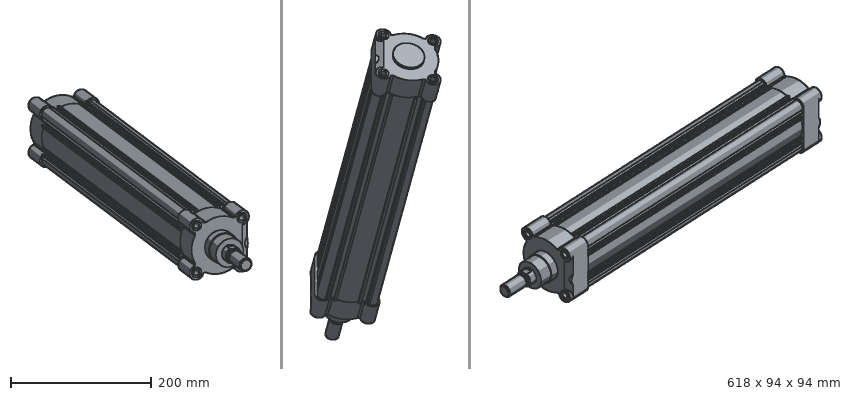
import cadquery as cq
import math


overall_length = 618.0
rear_boss_length = 4.0
cap_length = 38.0
barrel_length = 452.0
collar_length = 13.0
nose_length = 20.5

rear_cap_start = rear_boss_length
barrel_start = rear_cap_start + cap_length
front_cap_start = barrel_start + barrel_length
front_cap_end = front_cap_start + cap_length
collar_end = front_cap_end + collar_length
nose_end = collar_end + nose_length

half_width = 47.0
body_radius = 44.0
core_half_width = 38.5
ear_offset = 36.0
ear_radius = half_width - ear_offset

screw_seat_radius = 7.5
screw_seat_depth = 0.5
socket_radius = 4.5
socket_depth = 15.5

slope_angle = 29.0
slope_run = ear_radius * math.tan(math.radians(slope_angle))
port_boss_radius = 15.5
port_boss_z = -6.0

pilot_radius = 23.0
nose_radius = 21.5

barrel_corner_radius = body_radius - ear_offset
groove_outer = 32.0
groove_inner = 27.0
groove_depth = 2.5
slot_outer = 26.0
slot_inner = 20.0
slot_floor = 39.5
slot_undercut = 1.0
lip_inner = 16.0
lip_foot = 15.5
sides = 4

rod_radius = 12.5
wrench_half_width = 11.0
wrench_start_gap = 3.0
rod_shoulder_end = 578.5
rod_chamfer = 2.0
neck_radius = 9.0
thread_start = 582.0
thread_radius = 10.0
thread_chamfer = 2.0


def disc(start, length, radius, y=0.0, z=0.0):
    """Cylinder along X."""
    return cq.Workplane("YZ", origin=(start, y, z)).circle(radius).extrude(length)


def ear_centres():
    return [(y, z) for y in (-ear_offset, ear_offset) for z in (-ear_offset, ear_offset)]


def port_block():
    """Flat block filling the +Y side of a cap between its two ears."""
    return cq.Workplane("XY").box(
        cap_length, half_width, 2 * ear_offset, centered=(False, False, True)
    )


def port_slope():
    """Wedge taken off the outer +Y edge of a cap."""
    profile = [(0, ear_offset), (slope_run, half_width), (0, half_width)]
    return cq.Workplane("XY").polyline(profile).close().extrude(half_width, both=True)


def port_boss():
    """Round boss along Y at the middle of the cap, flush with the port block and showing on the slope."""
    return (
        cq.Workplane("XZ", origin=(cap_length / 2, 0, port_boss_z))
        .circle(port_boss_radius)
        .extrude(-half_width)
    )


def cap_screw_recess(y, z):
    """Shallow seat and a blind hole with a conical tip, sunk into the face at x = 0."""
    tip_depth = socket_depth + socket_radius
    profile = [
        (0, 0),
        (0, screw_seat_radius),
        (screw_seat_depth, screw_seat_radius),
        (screw_seat_depth, socket_radius),
        (socket_depth, socket_radius),
        (tip_depth, 0),
    ]
    recess = cq.Workplane("XY").polyline(profile).close().revolve(360, (0, 0, 0), (1, 0, 0))
    return recess.translate((0, y, z))


def make_cap():
    """Cap with its outer face at x = 0 and its inner face at x = cap_length."""
    core_width = 2 * core_half_width
    cap = disc(0, cap_length, body_radius)
    cap = cap.union(cq.Workplane("YZ").rect(core_width, core_width).extrude(cap_length))
    cap = cap.union(port_block()).cut(port_slope()).union(port_boss())
    for y, z in ear_centres():
        cap = cap.union(disc(0, cap_length, ear_radius, y, z))
    for y, z in ear_centres():
        cap = cap.cut(cap_screw_recess(y, z))
    return cap


def make_rear_cap():
    cap = make_cap().translate((rear_cap_start, 0, 0))
    return cap.union(disc(0, rear_cap_start, pilot_radius))


def make_front_cap():
    cap = make_cap().mirror("YZ").translate((front_cap_end, 0, 0))
    cap = cap.union(disc(front_cap_end, collar_length, pilot_radius))
    return cap.union(disc(collar_end, nose_length, nose_radius))


def side_recesses(sign):
    """V-groove, sensor slot and relief beside the lip, on one half of the +Z side."""
    relief_foot = math.sqrt(body_radius**2 - lip_foot**2)
    arc_mid = lip_foot / 2
    outlines = [
        [
            (groove_outer, body_radius),
            ((groove_outer + groove_inner) / 2, body_radius - groove_depth),
            (groove_inner, body_radius),
        ],
        [
            (slot_outer, body_radius),
            (slot_outer + slot_undercut, slot_floor),
            (slot_inner - slot_undercut, slot_floor),
            (slot_inner, body_radius),
        ],
    ]
    plane = cq.Workplane("YZ", origin=(barrel_start, 0, 0))
    recesses = (
        plane.moveTo(0, body_radius)
        .threePointArc(
            (sign * arc_mid, math.sqrt(body_radius**2 - arc_mid**2)),
            (sign * lip_foot, relief_foot),
        )
        .lineTo(sign * lip_inner, body_radius)
        .close()
        .extrude(barrel_length)
    )
    for outline in outlines:
        points = [(sign * y, z) for y, z in outline]
        recesses = recesses.add(plane.polyline(points).close().extrude(barrel_length))
    return recesses.vals()


def make_barrel():
    width = 2 * body_radius
    barrel = (
        cq.Workplane("YZ", origin=(barrel_start, 0, 0))
        .rect(width, width)
        .extrude(barrel_length)
        .edges("|X")
        .fillet(barrel_corner_radius)
    )
    for side in range(sides):
        angle = side * 360 / sides
        for sign in (-1, 1):
            for recess in side_recesses(sign):
                barrel = barrel.cut(cq.Workplane(recess.rotate((0, 0, 0), (1, 0, 0), angle)))
    return barrel


def make_rod():
    shoulder = disc(nose_end, rod_shoulder_end - nose_end, rod_radius).faces(">X").chamfer(rod_chamfer)
    flats_start = nose_end + wrench_start_gap
    flats_length = rod_shoulder_end - flats_start
    for sign in (-1, 1):
        relief = cq.Workplane("XY").box(
            flats_length, 2 * rod_radius, rod_radius, centered=(False, True, True)
        )
        offset = wrench_half_width + rod_radius / 2
        shoulder = shoulder.cut(relief.translate((flats_start, 0, sign * offset)))
    neck = disc(rod_shoulder_end, thread_start - rod_shoulder_end, neck_radius)
    thread = disc(thread_start, overall_length - thread_start, thread_radius)
    thread = thread.faces(">X").chamfer(thread_chamfer)
    return shoulder.union(neck).union(thread)


rear_cap = make_rear_cap().solids()
barrel = make_barrel().solids()
front_cap = make_front_cap().solids()
rod = make_rod().solids()

result = cq.Compound.makeCompound([rear_cap.val(), barrel.val(), front_cap.val(), rod.val()])